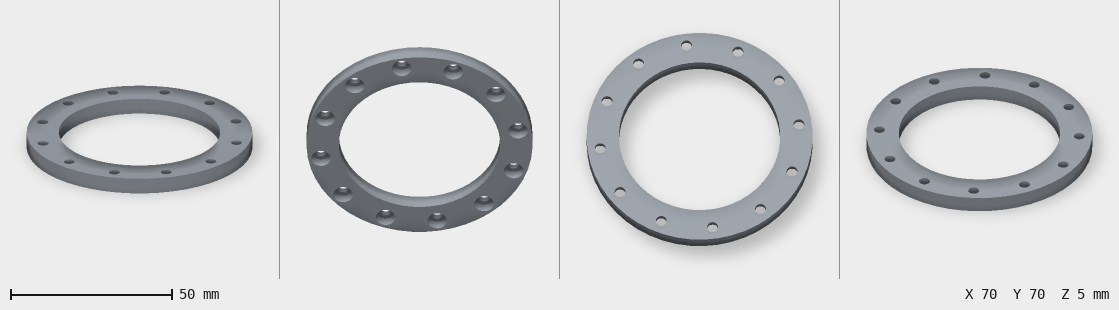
import cadquery as cq

outer_diameter = 70.0
bore_diameter = 50.0
thickness = 5.0

bolt_circle_diameter = 62.0
bolt_hole_diameter = 3.35
bolt_hole_count = 12
counterbore_diameter = 6.0
counterbore_depth = 3.2


def bolt_pattern_cylinders(diameter, height):
    """Cylinders on the bolt circle, rising from the bottom face."""
    return (
        cq.Workplane("XY")
        .polarArray(bolt_circle_diameter / 2, 0, 360, bolt_hole_count)
        .circle(diameter / 2)
        .extrude(height)
    )


ring = (
    cq.Workplane("XY")
    .circle(outer_diameter / 2)
    .circle(bore_diameter / 2)
    .extrude(thickness)
)

bolt_holes = bolt_pattern_cylinders(bolt_hole_diameter, thickness)
counterbores = bolt_pattern_cylinders(counterbore_diameter, counterbore_depth)

result = ring.cut(bolt_holes).cut(counterbores)